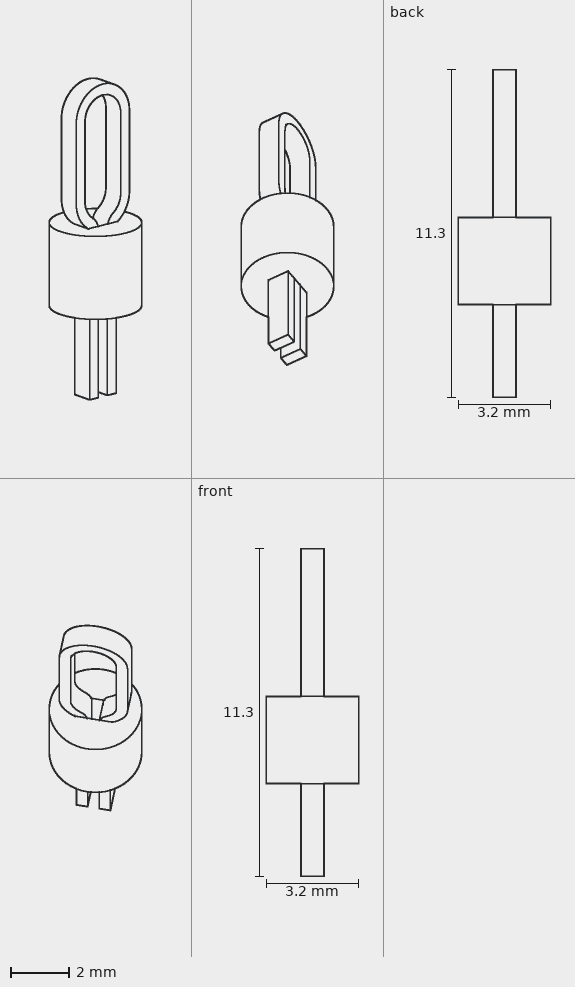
import cadquery as cq
import math

BEAD_DIAMETER = 3.2
BEAD_HEIGHT = 3.0

STRIP_WIDTH = 0.8
STRIP_THICKNESS = 0.4
LEG_GAP = 0.4
LEG_LENGTH = 3.2
LOOP_HEIGHT = 5.1
LOOP_OUTER_RADIUS = 1.2
LOOP_LOWER_CENTRE_HEIGHT = 1.0
NECK_INNER_RADIUS = 0.2

loop_inner_radius = LOOP_OUTER_RADIUS - STRIP_THICKNESS
loop_top = BEAD_HEIGHT + LOOP_HEIGHT
upper_centre_z = loop_top - LOOP_OUTER_RADIUS
lower_centre_z = BEAD_HEIGHT + LOOP_LOWER_CENTRE_HEIGHT

leg_inner_y = LEG_GAP / 2
leg_outer_y = leg_inner_y + STRIP_THICKNESS

neck_outer_radius = NECK_INNER_RADIUS + STRIP_THICKNESS
neck_centre_y = leg_outer_y + NECK_INNER_RADIUS
centre_distance = LOOP_OUTER_RADIUS + NECK_INNER_RADIUS
bend_angle = math.acos(neck_centre_y / centre_distance)
neck_centre_z = lower_centre_z - centre_distance * math.sin(bend_angle)


def loop_point(radius, angle, side):
    """Point on the lower loop arc, at an angle below horizontal, on the +Y (1) or -Y (-1) side."""
    return (side * radius * math.cos(angle), lower_centre_z - radius * math.sin(angle))


def neck_point(radius, angle, side):
    """Point on the neck arc, at an angle above horizontal, on the +Y (1) or -Y (-1) side."""
    return (
        side * (neck_centre_y - radius * math.cos(angle)),
        neck_centre_z + radius * math.sin(angle),
    )


def make_strip():
    """The bent strip: its side outline in the YZ plane, extruded across its width."""
    half_bend = bend_angle / 2
    outline = (
        cq.Workplane("YZ")
        .moveTo(-leg_outer_y, -LEG_LENGTH)
        .lineTo(*neck_point(NECK_INNER_RADIUS, 0, -1))
        .threePointArc(
            neck_point(NECK_INNER_RADIUS, half_bend, -1),
            loop_point(LOOP_OUTER_RADIUS, bend_angle, -1),
        )
        .threePointArc(
            loop_point(LOOP_OUTER_RADIUS, half_bend, -1),
            loop_point(LOOP_OUTER_RADIUS, 0, -1),
        )
        .lineTo(-LOOP_OUTER_RADIUS, upper_centre_z)
        .threePointArc((0, loop_top), (LOOP_OUTER_RADIUS, upper_centre_z))
        .lineTo(*loop_point(LOOP_OUTER_RADIUS, 0, 1))
        .threePointArc(
            loop_point(LOOP_OUTER_RADIUS, half_bend, 1),
            loop_point(LOOP_OUTER_RADIUS, bend_angle, 1),
        )
        .threePointArc(
            neck_point(NECK_INNER_RADIUS, half_bend, 1),
            neck_point(NECK_INNER_RADIUS, 0, 1),
        )
        .lineTo(leg_outer_y, -LEG_LENGTH)
        .lineTo(leg_inner_y, -LEG_LENGTH)
        .lineTo(*neck_point(neck_outer_radius, 0, 1))
        .threePointArc(
            neck_point(neck_outer_radius, half_bend, 1),
            loop_point(loop_inner_radius, bend_angle, 1),
        )
        .threePointArc(
            loop_point(loop_inner_radius, half_bend, 1),
            loop_point(loop_inner_radius, 0, 1),
        )
        .lineTo(loop_inner_radius, upper_centre_z)
        .threePointArc((0, loop_top - STRIP_THICKNESS), (-loop_inner_radius, upper_centre_z))
        .lineTo(*loop_point(loop_inner_radius, 0, -1))
        .threePointArc(
            loop_point(loop_inner_radius, half_bend, -1),
            loop_point(loop_inner_radius, bend_angle, -1),
        )
        .threePointArc(
            neck_point(neck_outer_radius, half_bend, -1),
            neck_point(neck_outer_radius, 0, -1),
        )
        .lineTo(-leg_inner_y, -LEG_LENGTH)
        .close()
    )
    return outline.extrude(STRIP_WIDTH / 2, both=True)


def make_bead(strip):
    """The cylinder, with one through slot that fits the two legs and leaves the gap between them open."""
    cylinder = cq.Workplane("XY").circle(BEAD_DIAMETER / 2).extrude(BEAD_HEIGHT)
    leg_spacing = LEG_GAP + STRIP_THICKNESS
    gap = cq.Workplane("XY").rect(STRIP_WIDTH, leg_spacing).extrude(BEAD_HEIGHT)
    return cylinder.cut(gap).cut(strip)


strip = make_strip()
bead = make_bead(strip)

result = cq.Compound.makeCompound([bead.val(), strip.val()])